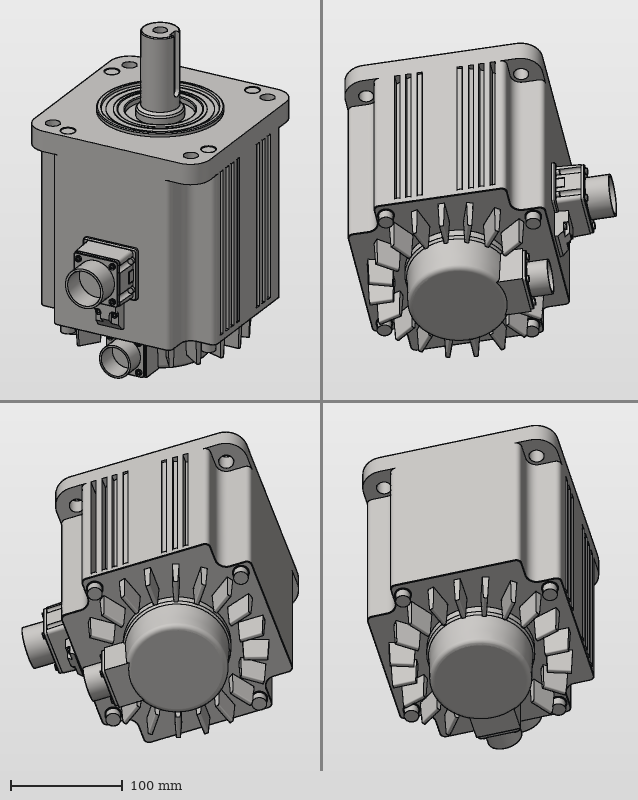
import cadquery as cq

SIDE = 180.0
HALF = SIDE / 2
FLANGE_THICK = 20.0
FLANGE_CORNER_R = 20.0
PILOT_R = 57.0
MOUNT_OFFSET = 70.5
MOUNT_R = 6.75
TIE_BOLT_NEAR = 51.2
TIE_BOLT_FAR = 78.0
TIE_RECESS_R = 7.05
TIE_RECESS_DEPTH = 0.5
TIE_RECESS_TAPER = 45

OVERALL = 314.0
SHAFT_TIP = 79.0
SHAFT_R = 17.5
SHAFT_CHAMFER = 1.0
CENTRE_HOLE_R = 6.45
CENTRE_HOLE_DEPTH = 25.0
DRILL_CONE = 3.8
KEY_WIDTH = 10.0
KEY_FLOOR_X = 12.5
KEY_END = 17.3

BODY_BOTTOM = -188.0
END_PLATE_THICK = 7.0
BOTTOM_CHAMFER = 0.5
CORNER_LEDGE = 60.5
COVE_R = MOUNT_OFFSET - CORNER_LEDGE
EDGE_R = 5.0
GROOVE_WIDTH = 4.7
GROOVE_FLOOR_R = HALF
GROOVE_PLACES = (-48.5, -38.0, -28.5, -18.2, 18.2, 28.5, 38.5)

FIN_COUNT = 20
FIN_DEPTH = 28.5
FIN_INNER_R = 58.7
FIN_OUTER_R = 82.3
FIN_THICK = 6.0
FIN_TAPER = 2.2
FIN_TIP_R = 1.3
STUD_R = 6.5
STUD_LENGTH = 9.7
WASHER_R = 7.5
WASHER_THICK = 0.5
CAP_BOTTOM = SHAFT_TIP - OVERALL
NECK_R = 48.5
NECK_BOTTOM = -195.3
CAP_TOP = -198.0
CAP_TOP_R = 46.8
CAP_BOTTOM_R = 45.5
CAP_FILLET = 4.7

POWER_Z = -119.3
POWER_REACH = 50.2
POWER_BASE_W = 55.3
POWER_BASE_H = 51.2
POWER_BASE_THICK = 3.5
POWER_BASE_CORNER_R = 3.0
POWER_BASE_CHAMFER = 1.3
POWER_BOX_SIZE = 47.7
POWER_BOX_DEPTH = 25.7
POWER_BOX_TAPER = 2.0
POWER_BOX_CORNER_R = 3.0
POWER_COVER_SIZE = 45.2
POWER_TUBE_R = 19.0
POWER_BORE_R = 17.0
POWER_BORE_DEPTH = 21.7
POWER_SCREW_OFFSET = 17.43
BASE_SCREW_X = 23.2
BASE_SCREW_Z = 14.5
BASE_SCREW_HEIGHT = 3.0
BASE_SCREW_CLEARANCE_R = 3.8
TAB_HEIGHT = 11.5
TAB_LENGTH = 7.5
TAB_PROUD = 0.5

ENCODER_Z = -214.5
ENCODER_BOX_W = 40.8
ENCODER_BOX_H = 39.5
ENCODER_COVER_SIZE = 39.0
ENCODER_BOX_DEPTH = 62.0
ENCODER_REACH = 83.5
ENCODER_TUBE_R = 15.85
ENCODER_BORE_R = 13.97
ENCODER_BORE_DEPTH = 20.5
ENCODER_SCREW_OFFSET = 14.5

BLOCK_BOTTOM = -176.0
BLOCK_HALF_W = 13.0
BLOCK_FACE_HALF_W = 10.7
BLOCK_DEPTH = 12.0
BLOCK_FOOT_DEPTH = 5.0
BLOCK_SLOPE_TOP = -165.2
BLOCK_SLOPE_BOTTOM = -173.0
BLOCK_TOE_DEPTH = 2.8
SEAT_FLOOR_DEPTH = 8.0
SEAT_SCREW_X = 8.2
SEAT_SCREW_Z = -160.0
SEAT_R = 3.8

COVER_THICK = 3.0
COVER_EDGE = 0.5
COVER_CORNER_R = 2.8
SCREW_R = 2.8
SCREW_HEIGHT = 2.0
SOCKET_R = 1.5
SOCKET_DEPTH = 1.3


def mirrored(near, far):
    """Four points of a pattern that repeats every quarter turn."""
    return [(near, far), (-far, near), (-near, -far), (far, -near)]


def block(x0, x1, y0, y1, z0, z1):
    return cq.Workplane("XY").box(x1 - x0, y1 - y0, z1 - z0, centered=False).translate((x0, y0, z0))


def flange():
    plate = (
        cq.Workplane("XY", origin=(0, 0, -FLANGE_THICK))
        .rect(SIDE, SIDE)
        .extrude(FLANGE_THICK)
        .edges("|Z")
        .fillet(FLANGE_CORNER_R)
    )
    recesses = (
        cq.Workplane("XY")
        .pushPoints(mirrored(TIE_BOLT_NEAR, TIE_BOLT_FAR))
        .circle(TIE_RECESS_R)
        .extrude(-TIE_RECESS_DEPTH, taper=TIE_RECESS_TAPER)
    )
    holes = (
        cq.Workplane("XY")
        .rect(2 * MOUNT_OFFSET, 2 * MOUNT_OFFSET, forConstruction=True)
        .vertices()
        .circle(MOUNT_R)
        .extrude(-FLANGE_THICK)
    )
    bore = cq.Workplane("XY").circle(PILOT_R).extrude(-FLANGE_THICK)
    return plate.cut(recesses).cut(holes).cut(bore)


def pilot_and_shaft():
    """Half section (radius, height) of the pilot, its ring steps, the seal recess and the shaft."""
    core = -FLANGE_THICK
    recess_floor = -4.7
    section = [
        (0, core), (PILOT_R, core), (PILOT_R, 2.8), (56.2, 3.8), (53.5, 3.8), (52.8, 1.5),
        (48.7, 1.5), (48.7, 1.0), (42.0, 1.0), (42.0, 1.5), (39.0, 1.5), (38.0, 1.0),
        (32.5, 1.0), (31.7, 0), (31.7, recess_floor), (22.0, recess_floor), (22.0, 2.0), (20.7, 3.8),
        (SHAFT_R, 6.0), (SHAFT_R, SHAFT_TIP - SHAFT_CHAMFER), (SHAFT_R - SHAFT_CHAMFER, SHAFT_TIP),
        (CENTRE_HOLE_R, SHAFT_TIP), (CENTRE_HOLE_R, SHAFT_TIP - CENTRE_HOLE_DEPTH),
        (0, SHAFT_TIP - CENTRE_HOLE_DEPTH - DRILL_CONE),
    ]
    return cq.Workplane("XZ").polyline(section).close().revolve(360, (0, 0, 0), (0, 1, 0))


def keyway():
    """Keyway open at the shaft tip, with a round inner end."""
    end_centre = KEY_END + KEY_WIDTH / 2
    slot = block(KEY_FLOOR_X, SHAFT_R + 3, -KEY_WIDTH / 2, KEY_WIDTH / 2, end_centre, SHAFT_TIP)
    end = cq.Workplane("YZ", origin=(KEY_FLOOR_X, 0, end_centre)).circle(KEY_WIDTH / 2).extrude(SHAFT_R)
    return slot.union(end)


def housing():
    """Square block with a coved notch along each vertical corner for the mounting bolts."""
    height = -FLANGE_THICK - BODY_BOTTOM
    plane = cq.Workplane("XY", origin=(0, 0, BODY_BOTTOM))
    body = plane.rect(SIDE, 2 * CORNER_LEDGE).extrude(height)
    body = body.union(plane.rect(2 * CORNER_LEDGE, SIDE).extrude(height))
    reach = CORNER_LEDGE + 3
    inner_corners = cq.selectors.BoxSelector((-reach, -reach, BODY_BOTTOM), (reach, reach, 0))
    body = body.edges("|Z").edges(inner_corners).fillet(COVE_R)
    body = body.edges("|Z and (<X or >X or <Y or >Y)").fillet(EDGE_R)
    return body.faces("<Z").edges().chamfer(BOTTOM_CHAMFER)


def side_grooves():
    """Grooves along both X sides; their floors lie on one cylinder about the motor axis."""
    bottom = BODY_BOTTOM + END_PLATE_THICK
    height = -FLANGE_THICK - bottom
    strips = (
        cq.Workplane("XY", origin=(0, 0, bottom))
        .pushPoints([(0, y) for y in GROOVE_PLACES])
        .rect(SIDE, GROOVE_WIDTH)
        .extrude(height)
    )
    core = cq.Workplane("XY", origin=(0, 0, bottom)).circle(GROOVE_FLOOR_R).extrude(height)
    return strips.cut(core)


def cooling_fins():
    """Radial tapered fins under the end plate, left out around the encoder connector."""
    fin = (
        cq.Workplane("XY", origin=((FIN_INNER_R + FIN_OUTER_R) / 2, 0, BODY_BOTTOM))
        .rect(FIN_OUTER_R - FIN_INNER_R, FIN_THICK)
        .extrude(-FIN_DEPTH, taper=FIN_TAPER)
        .faces("<Z")
        .edges("|X")
        .fillet(FIN_TIP_R)
    )
    pitch = 360 / FIN_COUNT
    fins = cq.Workplane("XY")
    for i in range(FIN_COUNT):
        angle = i * pitch
        if abs(angle - 270) > pitch + 1:
            fins = fins.add(fin.rotate((0, 0, 0), (0, 0, 1), angle))
    return fins.combine()


def studs():
    plane = cq.Workplane("XY", origin=(0, 0, BODY_BOTTOM)).pushPoints(mirrored(TIE_BOLT_NEAR, TIE_BOLT_FAR))
    return plane.circle(STUD_R).extrude(-STUD_LENGTH).union(plane.circle(WASHER_R).extrude(-WASHER_THICK))


def encoder_cap():
    section = [
        (0, BODY_BOTTOM), (NECK_R, BODY_BOTTOM), (NECK_R, NECK_BOTTOM),
        (CAP_TOP_R, CAP_TOP), (CAP_BOTTOM_R, CAP_BOTTOM), (0, CAP_BOTTOM),
    ]
    cap = cq.Workplane("XZ").polyline(section).close().revolve(360, (0, 0, 0), (0, 1, 0))
    return cap.faces("<Z").edges().fillet(CAP_FILLET)


def outwards(y, z):
    """Sketch plane facing -Y."""
    return cq.Workplane("XZ", origin=(0, y, z))


def socket_screws(y, z, places):
    """Screw heads standing on the face at y, each with a round socket."""
    heads = outwards(y, z).pushPoints(places).circle(SCREW_R).extrude(SCREW_HEIGHT)
    sockets = outwards(y - SCREW_HEIGHT, z).pushPoints(places).circle(SOCKET_R).extrude(-SOCKET_DEPTH)
    return heads.cut(sockets)


def connector_front(y, z, size, tube_r, bore_r, reach, bore_depth, screw_offset):
    """Square cover with four socket screws and a tube that ends at Y = reach, plus the bore to cut."""
    cover = (
        outwards(y, z).rect(size, size).extrude(COVER_THICK).edges("|Y").fillet(COVER_CORNER_R)
        .faces("<Y").edges().chamfer(COVER_EDGE)
    )
    face = y - COVER_THICK
    places = [(x, dz) for x in (-screw_offset, screw_offset) for dz in (-screw_offset, screw_offset)]
    tube = outwards(face, z).circle(tube_r).extrude(face - reach)
    bore = outwards(reach, z).circle(bore_r).extrude(-bore_depth)
    return cover.union(socket_screws(face, z, places)).union(tube), bore


def power_connector():
    side = -HALF
    box_start = side - POWER_BASE_THICK
    box_end = side - POWER_BOX_DEPTH
    base = (
        outwards(side, POWER_Z).rect(POWER_BASE_W, POWER_BASE_H).extrude(POWER_BASE_THICK)
        .edges("|Y").fillet(POWER_BASE_CORNER_R).faces("<Y").edges().chamfer(POWER_BASE_CHAMFER)
    )
    box = (
        outwards(box_start, POWER_Z)
        .rect(POWER_BOX_SIZE, POWER_BOX_SIZE)
        .extrude(box_start - box_end, taper=POWER_BOX_TAPER)
        .edges("not(#Y or |X or |Z)")
        .fillet(POWER_BOX_CORNER_R)
    )
    places = [(x, z) for x in (-BASE_SCREW_X, BASE_SCREW_X) for z in (-BASE_SCREW_Z, BASE_SCREW_Z)]
    clearances = (
        outwards(box_start, POWER_Z).pushPoints(places).circle(BASE_SCREW_CLEARANCE_R)
        .extrude(box_start - box_end)
    )
    screws = outwards(box_start, POWER_Z).pushPoints(places).circle(SCREW_R).extrude(BASE_SCREW_HEIGHT)
    tabs = (
        outwards(box_start, POWER_Z).rect(POWER_BOX_SIZE + 2 * TAB_PROUD, TAB_HEIGHT).extrude(TAB_LENGTH)
    )
    front, bore = connector_front(
        box_end, POWER_Z, POWER_COVER_SIZE, POWER_TUBE_R, POWER_BORE_R,
        side - POWER_REACH, POWER_BORE_DEPTH, POWER_SCREW_OFFSET,
    )
    shell = base.union(box).cut(clearances).union(screws).union(tabs)
    return shell.union(front).union(cable_block()).cut(bore)


def cable_block():
    """Drafted block below the power connector, with a sloped foot and two screw seats."""
    side = -HALF
    top = POWER_Z
    block_face = side - BLOCK_DEPTH
    foot_face = side - BLOCK_FOOT_DEPTH
    profile = [
        (side, top), (block_face, top), (block_face, BLOCK_SLOPE_TOP),
        (foot_face, BLOCK_SLOPE_BOTTOM),
        (side - BLOCK_TOE_DEPTH, BLOCK_BOTTOM), (side, BLOCK_BOTTOM),
    ]
    solid = cq.Workplane("YZ").polyline(profile).close().extrude(BLOCK_HALF_W, both=True)
    plan = [
        (-BLOCK_HALF_W, side), (-BLOCK_FACE_HALF_W, block_face),
        (BLOCK_FACE_HALF_W, block_face), (BLOCK_HALF_W, side),
    ]
    solid = solid.intersect(
        cq.Workplane("XY", origin=(0, 0, BLOCK_BOTTOM)).polyline(plan).close().extrude(top - BLOCK_BOTTOM)
    )
    seat = side - SEAT_FLOOR_DEPTH
    for sign in (-1, 1):
        x = sign * SEAT_SCREW_X
        opening = outwards(seat, SEAT_SCREW_Z).center(x, 0).circle(SEAT_R).extrude(BLOCK_DEPTH)
        edge = sign * BLOCK_HALF_W
        wall = sign * (SEAT_SCREW_X - SEAT_R)
        opening = opening.union(
            block(min(edge, wall), max(edge, wall), seat - BLOCK_DEPTH, seat, BLOCK_BOTTOM, SEAT_SCREW_Z)
        )
        solid = solid.cut(opening).union(socket_screws(seat, SEAT_SCREW_Z, [(x, 0)]))
    return solid


def encoder_connector():
    box = outwards(0, ENCODER_Z).rect(ENCODER_BOX_W, ENCODER_BOX_H).extrude(ENCODER_BOX_DEPTH)
    front, bore = connector_front(
        -ENCODER_BOX_DEPTH, ENCODER_Z, ENCODER_COVER_SIZE, ENCODER_TUBE_R, ENCODER_BORE_R,
        -ENCODER_REACH, ENCODER_BORE_DEPTH, ENCODER_SCREW_OFFSET,
    )
    return box.union(front).cut(bore)


result = flange().union(housing().cut(side_grooves()))
result = result.union(pilot_and_shaft()).cut(keyway())
result = result.union(encoder_cap()).union(encoder_connector())
result = result.union(cooling_fins()).union(studs())
result = result.union(power_connector())